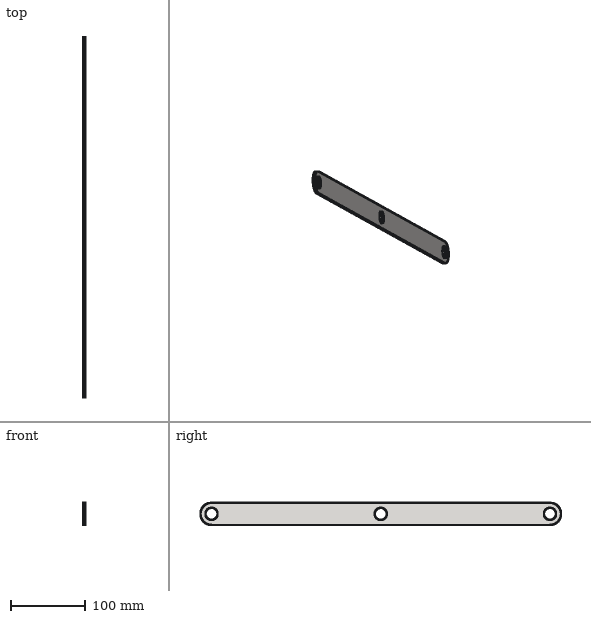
import cadquery as cq

bar_length = 485.0
bar_width = 30.0
bar_thickness = 3.0
hole_diameter = 16.0

end_hole_offset = (bar_length - bar_width) / 2
hole_positions = [(-end_hole_offset, 0), (0, 0), (end_hole_offset, 0)]


def make_bar():
    """Full-round bar, long along Y and centred through its thickness."""
    return (
        cq.Workplane("YZ")
        .slot2D(bar_length, bar_width)
        .extrude(bar_thickness / 2, both=True)
    )


def make_holes():
    """Cylinders along X for the centre hole and the two end holes."""
    return (
        cq.Workplane("YZ")
        .pushPoints(hole_positions)
        .circle(hole_diameter / 2)
        .extrude(bar_thickness, both=True)
    )


result = make_bar().cut(make_holes())